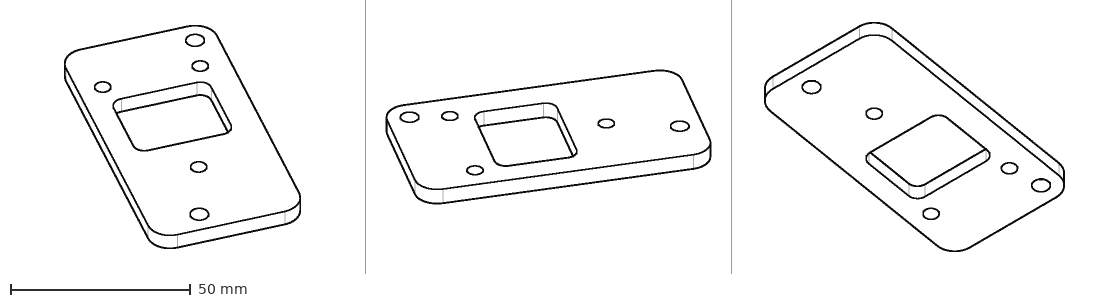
import cadquery as cq

length = 84.6
width = 44.35
thickness = 4.7
corner_radius = 6.4

centre_line_y = -0.8
window_x = -6.7
window_length = 23.5
window_width = 28.6
window_radius = 3.2

small_diameter = 4.5
pair_x = -24.9
pair_spacing = window_width
single_x = 16.4

large_diameter = 5.2
large_x = length / 2 - corner_radius
left_large_y = width / 2 - corner_radius
right_large_y = -7.1

small_points = [
    (pair_x, centre_line_y + pair_spacing / 2),
    (pair_x, centre_line_y - pair_spacing / 2),
    (single_x, centre_line_y),
]
large_points = [(-large_x, left_large_y), (large_x, right_large_y)]


def rounded_block(block_length, block_width, radius):
    """Block of plate thickness with rounded vertical edges."""
    block = cq.Workplane("XY").box(block_length, block_width, thickness)
    return block.edges("|Z").fillet(radius)


def drill(body, points, diameter):
    """Drill through holes at points measured from the plate centre."""
    return body.faces(">Z").workplane(origin=(0, 0, 0)).pushPoints(points).hole(diameter)


plate = rounded_block(length, width, corner_radius)
window = rounded_block(window_length, window_width, window_radius)
plate = plate.cut(window.translate((window_x, centre_line_y, 0)))
plate = drill(plate, small_points, small_diameter)
result = drill(plate, large_points, large_diameter)